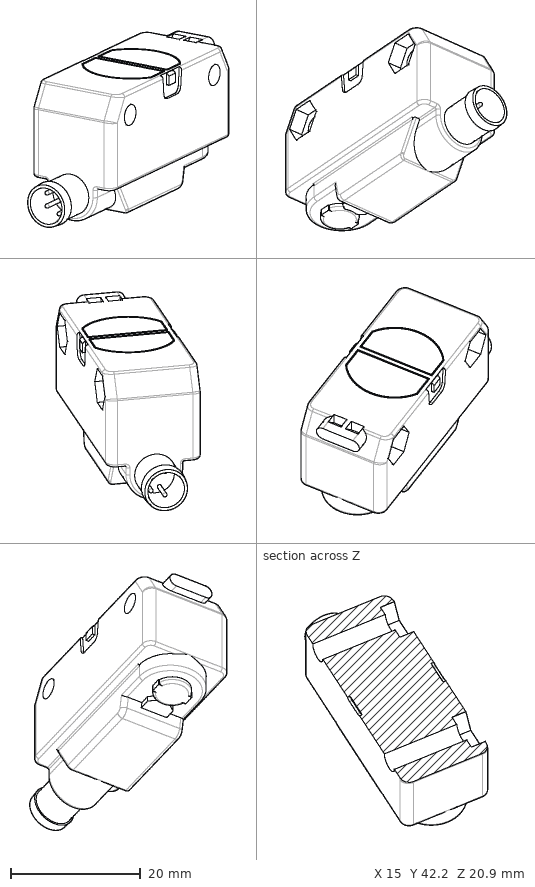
import cadquery as cq
import math


WIDTH = 15.0
LENGTH = 34.5
HEIGHT = 15.0
CHAMFER_HEIGHT = 3.75
CHAMFER_ANGLE = 60.0
CORNER_RADIUS = 1.5
BEND_RADIUS = 0.5
EDGE_RADIUS = 0.5
MID_Y = LENGTH / 2
OVERLAP = 0.6

HOLE_DIAMETER = 3.3
HOLE_SPACING = 24.1
HOLE_Z = 11.2
NUT_ACROSS_FLATS = 5.65
NUT_SIDES = 6
NUT_DEPTH = 2.4

RECESS_DEPTH = 0.45
RECESS_TOP_WIDTH = 5.4
RECESS_BOTTOM_WIDTH = 4.65
RECESS_HEIGHT = 4.0
RECESS_CORNER = 1.1
BLOCK_WIDTH = 1.85
BLOCK_HEIGHT = 2.0
BLOCK_BEVEL = 0.5

LENS_RADIUS = 7.6
LENS_WIDTH = 12.7
LENS_GAP = 0.75
GROOVE_WIDTH = 0.15
GROOVE_DEPTH = 0.1

TAB_WIDTH = 7.6
TAB_HEIGHT = 2.3
TAB_OVERHANG = 0.6
POCKET_WIDTH = 2.25
POCKET_GAP = 0.8
POCKET_FRONT_Y = 31.6
POCKET_LENGTH = 1.85
POCKET_DEPTH = 1.85

BASE_WIDTH = 11.1
SHELF_DEPTH = 2.9
SHELF_FRONT_Y = 20.0
SHELF_EDGE_RADIUS = 0.6
BASE_DEPTH = 5.9
STEP_TOP_Y = 24.3
STEP_BOTTOM_Y = 23.7
STEP_CORNER_RADIUS = 1.4
BASE_EDGE_RADIUS = 0.8
NOSE_BOTTOM_Y = 7.85
NOSE_ANGLE = 60.0
NOSE_EDGE_RADIUS = 0.35
FLARE_RADIUS = 0.25
FLARE_SAG = FLARE_RADIUS * (1 - math.sqrt(0.5))

DIAL_RADIUS = 3.0
DIAL_Y = 29.5
DIAL_HEIGHT = 1.0
DIAL_EDGE_RADIUS = 0.45
LUG_WIDTH = 1.85
RIB_BACK_Y = 26.85
RIB_TAPER_END_Y = 26.0
RIB_BACK_WIDTH = 2.6
RIB_FRONT_WIDTH = 4.6
RIB_HEIGHT = 0.9

AXIS_Z = -1.55
SADDLE_RADIUS = 4.5
SADDLE_SHOULDER = 0.5
SADDLE_LENGTH = 12.0
BARREL_DIAMETER = 6.5
BARREL_LENGTH = 7.12
COLLAR_LENGTH = 1.7
COLLAR_BACK_DIAMETER = 7.05
COLLAR_END_DIAMETER = 6.8
BORE_DIAMETER = 5.8
BORE_DEPTH = 6.5
PIN_DIAMETER = 0.65
PIN_LENGTH = 3.9
PIN_CIRCLE_RADIUS = 2.0
PIN_ANGLES = (75.0, 148.0, 212.0, 285.0)


def prism_along_x(profile, x_start, x_end):
    """Extrude a closed sketch on the YZ plane, drawn as (y, z) points, from x_start to x_end."""
    sketch = cq.Workplane("YZ", origin=(x_start, 0, 0)).polyline(profile).close()
    return sketch.extrude(x_end - x_start)


def disc_along_y(diameter, y_front, y_back, x=0.0, z=AXIS_Z):
    """Cylinder parallel to Y, on the connector axis unless placed elsewhere."""
    plane = cq.Workplane("XZ", origin=(x, y_back, z))
    return plane.circle(diameter / 2).extrude(y_back - y_front)


def make_housing():
    """Main box with sloping upper ends and rounded edges."""
    run = CHAMFER_HEIGHT / math.tan(math.radians(CHAMFER_ANGLE))
    shoulder = HEIGHT - CHAMFER_HEIGHT
    profile = [
        (0, 0),
        (0, shoulder),
        (run, HEIGHT),
        (LENGTH - run, HEIGHT),
        (LENGTH, shoulder),
        (LENGTH, 0),
    ]
    body = prism_along_x(profile, -WIDTH / 2, WIDTH / 2)
    bends = cq.selectors.BoxSelector(
        (-WIDTH, -LENGTH, shoulder - BEND_RADIUS), (WIDTH, 2 * LENGTH, shoulder + BEND_RADIUS)
    )
    body = body.edges("|X").edges(bends).fillet(BEND_RADIUS)
    body = body.edges("|Z").fillet(CORNER_RADIUS)
    return body.faces("<Z or >Z").edges().fillet(EDGE_RADIUS)


def make_window_tab():
    """Rounded bar lying across the rear top edge."""
    length = LENGTH + TAB_OVERHANG - POCKET_FRONT_Y
    plane = cq.Workplane("XZ", origin=(0, LENGTH + TAB_OVERHANG, HEIGHT - TAB_HEIGHT / 2))
    return plane.slot2D(TAB_WIDTH, TAB_HEIGHT).extrude(length)


def make_window_pocket(side):
    """Wedge whose floor rises from the front to the rear."""
    profile = [
        (POCKET_FRONT_Y, HEIGHT),
        (POCKET_FRONT_Y, HEIGHT - POCKET_DEPTH),
        (POCKET_FRONT_Y + POCKET_LENGTH, HEIGHT),
    ]
    centre = side * (POCKET_GAP + POCKET_WIDTH) / 2
    return prism_along_x(profile, centre - POCKET_WIDTH / 2, centre + POCKET_WIDTH / 2)


def make_shelf():
    """Shallow rear base with a half-round end."""
    radius = BASE_WIDTH / 2
    outline = (
        cq.Workplane("XY", origin=(0, 0, -SHELF_DEPTH))
        .moveTo(-radius, SHELF_FRONT_Y)
        .lineTo(radius, SHELF_FRONT_Y)
        .lineTo(radius, LENGTH - radius)
        .threePointArc((0, LENGTH), (-radius, LENGTH - radius))
        .close()
    )
    shelf = outline.extrude(SHELF_DEPTH + OVERLAP)
    return shelf.faces("<Z").edges("not <Y").fillet(SHELF_EDGE_RADIUS)


def make_deep_base():
    """Deep base with a steep rear step and a sloping nose."""
    nose_run = (BASE_DEPTH + OVERLAP) / math.tan(math.radians(NOSE_ANGLE))
    step_slope = (STEP_TOP_Y - STEP_BOTTOM_Y) / (BASE_DEPTH - SHELF_DEPTH)
    nose_top_y = NOSE_BOTTOM_Y - nose_run
    step_top_y = STEP_BOTTOM_Y + step_slope * (BASE_DEPTH + OVERLAP)
    profile = [
        (nose_top_y, OVERLAP),
        (NOSE_BOTTOM_Y, -BASE_DEPTH),
        (STEP_BOTTOM_Y, -BASE_DEPTH),
        (step_top_y, OVERLAP),
    ]
    base = prism_along_x(profile, -BASE_WIDTH / 2, BASE_WIDTH / 2)
    base = base.faces("<Z").edges(">Y").fillet(STEP_CORNER_RADIUS)
    base = base.faces("<Z").edges("|Y").fillet(BASE_EDGE_RADIUS)
    return base.faces("<Y").edges("not >Z").fillet(NOSE_EDGE_RADIUS)


def make_dial():
    """Disc with two flat lugs and a tapered rib running to the step of the base."""
    bottom = -SHELF_DEPTH - DIAL_HEIGHT
    height = DIAL_HEIGHT + OVERLAP
    disc = cq.Workplane("XY", origin=(0, DIAL_Y, bottom)).circle(DIAL_RADIUS).extrude(height)
    disc = disc.faces("<Z").edges().fillet(DIAL_EDGE_RADIUS)
    lugs = cq.Workplane("XY", origin=(0, DIAL_Y, bottom)).rect(2 * DIAL_RADIUS, LUG_WIDTH).extrude(height)
    rib_outline = [
        (-RIB_BACK_WIDTH / 2, RIB_BACK_Y),
        (RIB_BACK_WIDTH / 2, RIB_BACK_Y),
        (RIB_FRONT_WIDTH / 2, RIB_TAPER_END_Y),
        (RIB_FRONT_WIDTH / 2, SHELF_FRONT_Y),
        (-RIB_FRONT_WIDTH / 2, SHELF_FRONT_Y),
        (-RIB_FRONT_WIDTH / 2, RIB_TAPER_END_Y),
    ]
    rib_plane = cq.Workplane("XY", origin=(0, 0, -SHELF_DEPTH - RIB_HEIGHT))
    rib = rib_plane.polyline(rib_outline).close().extrude(RIB_HEIGHT + OVERLAP)
    return disc.union(lugs).union(rib)


def make_base_flare(side):
    """Concave strip along the straight side of the base, under the housing."""
    wall = side * BASE_WIDTH / 2
    tip = wall + side * FLARE_RADIUS
    strip = (
        cq.Workplane("XZ", origin=(0, LENGTH - BASE_WIDTH / 2, 0))
        .moveTo(wall, 0)
        .lineTo(wall, -FLARE_RADIUS)
        .threePointArc((wall + side * FLARE_SAG, -FLARE_SAG), (tip, 0))
        .lineTo(tip, OVERLAP)
        .lineTo(wall, OVERLAP)
        .close()
    )
    front_y = NOSE_BOTTOM_Y - BASE_DEPTH / math.tan(math.radians(NOSE_ANGLE)) + NOSE_EDGE_RADIUS
    return strip.extrude(LENGTH - BASE_WIDTH / 2 - front_y)


def make_saddle():
    """U-shaped body that carries the connector and flares out where it meets the housing."""
    centre_z = SADDLE_RADIUS - BASE_DEPTH
    tip = SADDLE_RADIUS + FLARE_RADIUS
    shoulder = tip + SADDLE_SHOULDER
    outline = (
        cq.Workplane("XZ", origin=(0, SADDLE_LENGTH, 0))
        .moveTo(-shoulder, OVERLAP)
        .lineTo(-shoulder, 0)
        .lineTo(-tip, 0)
        .threePointArc((-SADDLE_RADIUS - FLARE_SAG, -FLARE_SAG), (-SADDLE_RADIUS, -FLARE_RADIUS))
        .lineTo(-SADDLE_RADIUS, centre_z)
        .threePointArc((0, -BASE_DEPTH), (SADDLE_RADIUS, centre_z))
        .lineTo(SADDLE_RADIUS, -FLARE_RADIUS)
        .threePointArc((SADDLE_RADIUS + FLARE_SAG, -FLARE_SAG), (tip, 0))
        .lineTo(shoulder, 0)
        .lineTo(shoulder, OVERLAP)
        .close()
    )
    saddle = outline.extrude(SADDLE_LENGTH)
    return saddle.faces("<Y").edges("not (>Z or >X or <X)").fillet(EDGE_RADIUS)


def make_barrel():
    """Connector tube with a tapered collar at its open end."""
    tube = disc_along_y(BARREL_DIAMETER, -BARREL_LENGTH, OVERLAP)
    collar_back = cq.Workplane("XZ", origin=(0, COLLAR_LENGTH - BARREL_LENGTH, AXIS_Z))
    collar = (
        collar_back.circle(COLLAR_BACK_DIAMETER / 2)
        .workplane(offset=COLLAR_LENGTH)
        .circle(COLLAR_END_DIAMETER / 2)
        .loft()
    )
    return tube.union(collar)


def make_pin(angle):
    """Round-tipped contact standing on the floor of the bore."""
    x = PIN_CIRCLE_RADIUS * math.cos(math.radians(angle))
    z = AXIS_Z + PIN_CIRCLE_RADIUS * math.sin(math.radians(angle))
    floor_y = BORE_DEPTH - BARREL_LENGTH
    radius = PIN_DIAMETER / 2
    dome_y = floor_y - PIN_LENGTH + radius
    dome = cq.Workplane("XY").sphere(radius).translate((x, dome_y, z))
    return disc_along_y(PIN_DIAMETER, dome_y, floor_y + OVERLAP, x, z).union(dome)


def make_mounting_cut(y):
    """Through hole with a hexagonal nut pocket in the -X side."""
    plane = cq.Workplane("YZ", origin=(-WIDTH / 2, y, HOLE_Z))
    across_corners = NUT_ACROSS_FLATS / math.cos(math.pi / NUT_SIDES)
    hole = plane.circle(HOLE_DIAMETER / 2).extrude(WIDTH)
    nut_pocket = plane.polygon(NUT_SIDES, across_corners).extrude(NUT_DEPTH)
    return hole.union(nut_pocket)


def make_side_recess(side):
    """Shallow recess in a side wall that leaves a small bevelled block standing at its top."""
    bottom = HEIGHT - RECESS_HEIGHT
    profile = [
        (MID_Y - RECESS_TOP_WIDTH / 2, HEIGHT),
        (MID_Y - RECESS_BOTTOM_WIDTH / 2, bottom),
        (MID_Y + RECESS_BOTTOM_WIDTH / 2, bottom),
        (MID_Y + RECESS_TOP_WIDTH / 2, HEIGHT),
    ]
    outer = side * WIDTH / 2
    inner = side * (WIDTH / 2 - RECESS_DEPTH)
    recess = prism_along_x(profile, min(inner, outer), max(inner, outer))
    recess = recess.faces("<Z").edges("|X").fillet(RECESS_CORNER)
    block_profile = [
        (inner, HEIGHT - BLOCK_HEIGHT),
        (outer, HEIGHT - BLOCK_HEIGHT),
        (outer, HEIGHT - BLOCK_BEVEL),
        (inner, HEIGHT - BLOCK_BEVEL + RECESS_DEPTH),
    ]
    block_plane = cq.Workplane("XZ", origin=(0, MID_Y + BLOCK_WIDTH / 2, 0))
    block = block_plane.polyline(block_profile).close().extrude(BLOCK_WIDTH)
    return recess.cut(block)


def make_lens_half(side, inset):
    """Circle segment on one side of the lens gap, shrunk by the inset."""
    edge_y = LENS_GAP / 2 + inset
    disc = cq.Workplane("XY").circle(LENS_RADIUS - inset).extrude(GROOVE_DEPTH)
    window = cq.Workplane("XY").rect(LENS_WIDTH - 2 * inset, LENS_RADIUS).extrude(GROOVE_DEPTH)
    window = window.translate((0, side * (edge_y + LENS_RADIUS / 2), 0))
    return disc.intersect(window).translate((0, MID_Y, HEIGHT - GROOVE_DEPTH))


def make_lens_groove(side):
    """Thin groove around one lens half."""
    return make_lens_half(side, 0).cut(make_lens_half(side, GROOVE_WIDTH))


result = make_housing()
for body in (make_window_tab(), make_shelf(), make_deep_base(), make_dial(), make_saddle(), make_barrel()):
    result = result.union(body)
for flare_side in (-1, 1):
    result = result.union(make_base_flare(flare_side))

for hole_side in (-1, 1):
    result = result.cut(make_mounting_cut(MID_Y + hole_side * HOLE_SPACING / 2))
for mirror_side in (-1, 1):
    result = result.cut(make_side_recess(mirror_side))
    result = result.cut(make_window_pocket(mirror_side))
    result = result.cut(make_lens_groove(mirror_side))

result = result.cut(disc_along_y(BORE_DIAMETER, -BARREL_LENGTH, BORE_DEPTH - BARREL_LENGTH))
for pin_angle in PIN_ANGLES:
    result = result.union(make_pin(pin_angle))